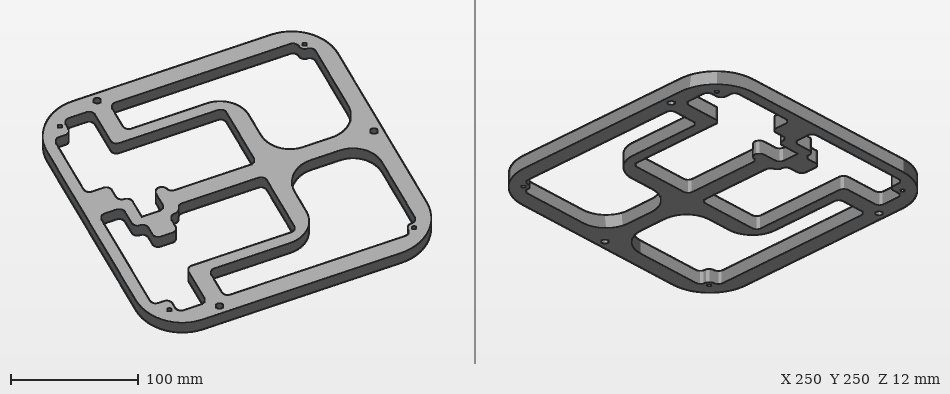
import cadquery as cq
import math

size = 250.0
thickness = 12.0
outer_radius = 40.0
half_size = size / 2

rail_width = 15.0
bottom_rail_width = 10.0
window_edge = half_size - rail_width
window_bottom = bottom_rail_width - half_size

spine_half_width = 7.5
bridge_top = 35.0
bridge_bottom = 20.0
arm_outer = 80.0
arm_inner = 70.0
shelf_top = -60.0
shelf_bottom = shelf_top - rail_width

pad_edge = 100.0
lower_pad_inner = 95.0

step_half_width = 15.0
block_reach = 32.5
notch_top = -65.0
notch_bottom = -85.0
step_bottom = -95.0

sweep_radius = 25.0
corner_radius = 5.0
sharp = 0.0
touch_tolerance = 2.5e-06

rail_hole_diameter = 6.0
rail_hole_offset = half_size - rail_width / 2
pad_hole_diameter = 3.5
pad_hole_offset = 105.0

arc_spacing = 2 * corner_radius
shoulder_width = step_half_width - spine_half_width
arc_overlap = arc_spacing - shoulder_width
arc_rise = math.sqrt(arc_spacing**2 - arc_overlap**2)
shoulder_middle = notch_top + corner_radius + arc_rise / 2
shoulder_drop = shoulder_width * arc_overlap / arc_rise
shoulder_high = shoulder_middle + shoulder_drop / 2
shoulder_low = shoulder_middle - shoulder_drop / 2


def rounded_corner(before, corner, after, radius):
    """Start, middle and end of the arc that rounds a corner between its two neighbors."""
    here = cq.Vector(*corner)
    to_before = (cq.Vector(*before) - here).normalized()
    to_after = (cq.Vector(*after) - here).normalized()
    half_angle = to_before.getAngle(to_after) / 2
    setback = radius / math.tan(half_angle)
    arc_distance = radius / math.sin(half_angle) - radius
    middle = here + (to_before + to_after).normalized() * arc_distance
    return here + to_before * setback, middle, here + to_after * setback


def rounded_prism(corners):
    """Prism as tall as the plate over an outline of (x, y, radius) corners."""
    points = [(x, y) for x, y, _ in corners]
    arcs = []
    for i, (x, y, radius) in enumerate(corners):
        following = points[(i + 1) % len(points)]
        arcs.append(rounded_corner(points[i - 1], (x, y), following, radius))

    edges = []
    for i, (start, middle, end) in enumerate(arcs):
        previous_end = arcs[i - 1][2]
        if (start - previous_end).Length > touch_tolerance:
            edges.append(cq.Edge.makeLine(previous_end, start))
        if corners[i][2] > 0:
            edges.append(cq.Edge.makeThreePointArc(start, middle, end))
    outline = cq.Wire.assembleEdges(edges)
    return cq.Workplane("XY").add(outline).toPending().extrude(thickness)


def upper_left_window():
    return rounded_prism([
        (-spine_half_width, window_edge, sweep_radius),
        (-spine_half_width, bridge_top, sweep_radius),
        (-arm_outer, bridge_top, sweep_radius),
        (-arm_outer, shelf_top, corner_radius),
        (-window_edge, shelf_top, corner_radius),
        (-window_edge, pad_edge, corner_radius),
        (-pad_edge, pad_edge, corner_radius),
        (-pad_edge, window_edge, corner_radius),
    ])


def lower_window(side, joint_corners):
    """Window below the bridge: side is -1 for left, 1 for right; the joint runs from bottom to top."""
    return rounded_prism([
        (side * spine_half_width, bridge_bottom, corner_radius),
        (side * arm_inner, bridge_bottom, corner_radius),
        (side * arm_inner, shelf_bottom, corner_radius),
        (side * window_edge, shelf_bottom, corner_radius),
        (side * window_edge, -pad_edge, corner_radius),
        (side * lower_pad_inner, -pad_edge, corner_radius),
        (side * lower_pad_inner, window_bottom, corner_radius),
        *joint_corners,
        (side * step_half_width, notch_top, corner_radius),
        (side * step_half_width, shoulder_low, corner_radius),
        (side * spine_half_width, shoulder_high, corner_radius),
    ])


def lower_left_window():
    return lower_window(-1, [
        (-block_reach, window_bottom, corner_radius),
        (-block_reach, step_bottom, corner_radius),
        (-step_half_width, step_bottom, corner_radius),
        (-step_half_width, notch_bottom, corner_radius),
        (spine_half_width, notch_bottom, sharp),
        (spine_half_width, notch_top, corner_radius),
    ])


def lower_right_window():
    return lower_window(1, [
        (-spine_half_width, window_bottom, corner_radius),
        (-spine_half_width, step_bottom, corner_radius),
        (step_half_width, step_bottom, corner_radius),
        (step_half_width, notch_bottom, corner_radius),
        (block_reach, notch_bottom, corner_radius),
        (block_reach, notch_top, corner_radius),
    ])


def through_holes(diameter, centers):
    return cq.Workplane("XY").pushPoints(centers).circle(diameter / 2).extrude(thickness)


plate = (
    cq.Workplane("XY")
    .box(size, size, thickness, centered=(True, True, False))
    .edges("|Z")
    .fillet(outer_radius)
)

shelf_middle = (shelf_top + shelf_bottom) / 2
rail_hole_centers = [
    (0, rail_hole_offset),
    (-rail_hole_offset, shelf_middle),
    (rail_hole_offset, shelf_middle),
]
pad_hole_centers = [(x * pad_hole_offset, y * pad_hole_offset) for x in (-1, 1) for y in (-1, 1)]

cutouts = [
    upper_left_window(),
    upper_left_window().mirror("YZ"),
    lower_left_window(),
    lower_right_window(),
    through_holes(rail_hole_diameter, rail_hole_centers),
    through_holes(pad_hole_diameter, pad_hole_centers),
]
for cutout in cutouts:
    plate = plate.cut(cutout)

result = plate